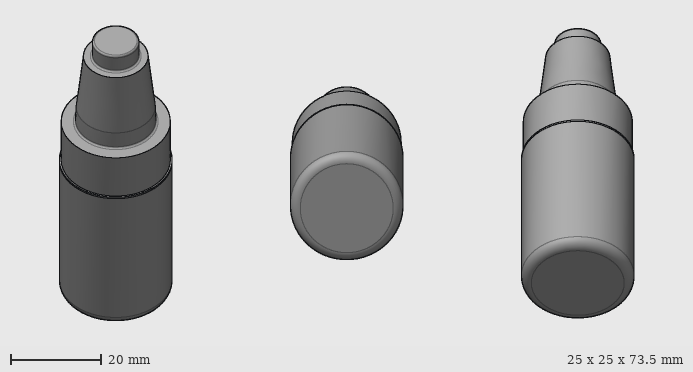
import cadquery as cq
import math

total_height = 73.5
body_diameter = 25.0

seam_height = 37.6
base_fillet = 2.2

rim_thickness = 0.45
collar_diameter = 24.2
collar_top = 49.5
neck_foot_diameter = 17.85
neck_bend_diameter = 17.5
neck_bend_height = 53.9
neck_top_diameter = 14.3
neck_top = 68.95
tip_diameter = 10.4
edge_fillet = 0.45


def make_body():
    """Lower cylinder with a rounded base, ending at the seam."""
    cylinder = cq.Workplane("XY").circle(body_diameter / 2).extrude(seam_height)
    return cylinder.faces("<Z").edges().fillet(base_fillet)


def make_cap():
    """Revolved upper body; the profile lies in the XZ plane with X as the radius."""
    rim_radius = body_diameter / 2
    collar_radius = collar_diameter / 2
    foot_radius = neck_foot_diameter / 2
    bend_radius = neck_bend_diameter / 2
    neck_top_radius = neck_top_diameter / 2
    tip_radius = tip_diameter / 2
    rim_top = seam_height + rim_thickness
    neck_foot = collar_top + edge_fillet
    tip_foot = neck_top + edge_fillet
    tip_shoulder = total_height - edge_fillet

    mid_offset = edge_fillet * (1 - math.sqrt(0.5))

    profile = (
        cq.Workplane("XZ")
        .moveTo(0, seam_height)
        .lineTo(rim_radius, seam_height)
        .lineTo(rim_radius, rim_top)
        .lineTo(collar_radius, rim_top)
        .lineTo(collar_radius, collar_top)
        .lineTo(foot_radius + edge_fillet, collar_top)
        .threePointArc((foot_radius + mid_offset, collar_top + mid_offset), (foot_radius, neck_foot))
        .tangentArcPoint((bend_radius, neck_bend_height), relative=False)
        .lineTo(neck_top_radius, neck_top)
        .lineTo(tip_radius + edge_fillet, neck_top)
        .threePointArc((tip_radius + mid_offset, neck_top + mid_offset), (tip_radius, tip_foot))
        .lineTo(tip_radius, tip_shoulder)
        .threePointArc(
            (tip_radius - mid_offset, total_height - mid_offset),
            (tip_radius - edge_fillet, total_height),
        )
        .lineTo(0, total_height)
        .close()
    )
    return profile.revolve(360, (0, 0), (0, 1))


body = make_body()
cap = make_cap()

result = cq.Compound.makeCompound([body.val(), cap.val()])